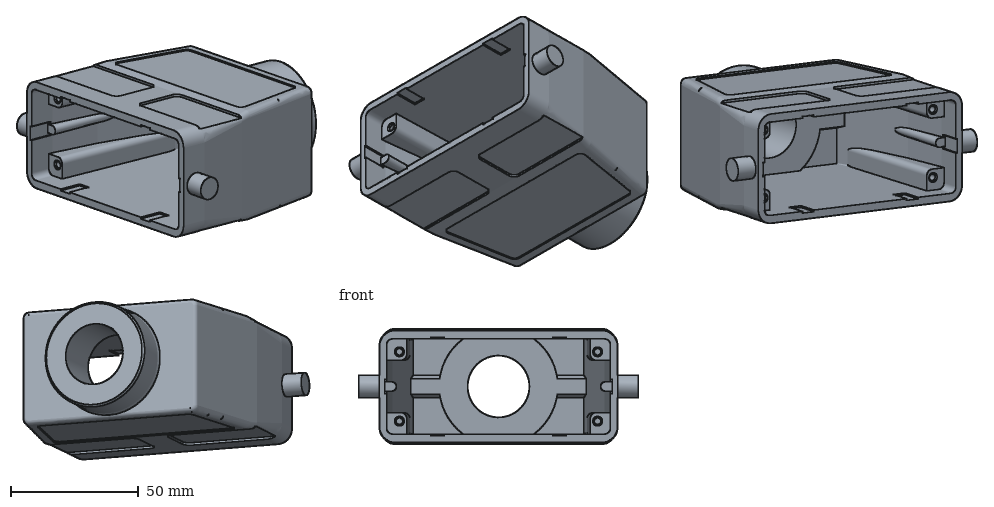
import cadquery as cq

SIDES = (-1, 1)

rim_band_end = 11.0
shoulder_start = 32.2
shoulder_end = 37.1
body_length = 76.0
total_length = 92.0

rim_half_width = 46.6
shoulder_half_width = 44.7
back_half_width = 36.5
rim_height = 43.7
body_height = 45.0
rim_half_height = rim_height / 2
body_half_height = body_height / 2
rim_corner_radius = 5.9
body_corner_radius = 2.5
back_edge_radius = 1.5
side_slope = (shoulder_half_width - back_half_width) / (body_length - shoulder_start)
shoulder_end_half_width = shoulder_half_width - side_slope * (shoulder_end - shoulder_start)

cavity_depth = 72.7
cavity_half_height = 18.6
cavity_rim_half_width = 43.8
cavity_shoulder_half_width = 41.5
cavity_floor_half_width = 33.4
cavity_corner_radius = 2.4
cavity_floor_corner_radius = 0.2

collar_radius = 20.9
collar_chamfer = 0.8
collar_foot_radius = 21.4
collar_foot_height = 1.5
collar_foot_sink = 0.3
bore_radius = 12.0
inner_boss_radius = 23.2
inner_boss_height = 4.6
rib_half_length = 34.3
rib_base_half_height = 4.4
rib_top_half_height = 3.0

post_start = 9.0
post_inner_x = 35.9
post_base_inner_x = 34.5
post_inner_z = 10.2
post_edge_radius = 2.4
screw_x = 38.8
screw_z = 13.6
screw_hole_radius = 1.3
screw_hole_depth = 13.1
screw_countersink = 0.5

key_start = post_start
key_inner_x = 40.0
key_width = 3.6
key_radius = key_width / 2

notch_depth = 0.7
notch_length = 9.9
notch_width = 5.3
notch_spacing = 47.6
end_notch_width = 5.6

peg_radius = 4.5
peg_y = 6.4
peg_end_x = 54.8

window_depth = 1.0
window_inner_x = 6.1
window_corner_radius = 2.8
panel_depth = 0.5
panel_start = shoulder_end
panel_end = 71.3
panel_start_half_width = 38.3
panel_end_half_width = 32.4
panel_corner_radius = 2.4


def section_sketch(section):
    """Rounded rectangle of one loft section."""
    _, half_width, half_height, radius = section
    return cq.Sketch().rect(2 * half_width, 2 * half_height).vertices().fillet(radius)


def lofted(sections):
    """Solid with straight sides through sections of (y, half width, half height, corner radius)."""
    solid = None
    for near, far in zip(sections, sections[1:]):
        near_sketch = section_sketch(near)
        far_sketch = section_sketch(far).moved(cq.Location(cq.Vector(0, 0, near[0] - far[0])))
        near_plane = cq.Workplane("XZ", origin=(0, near[0], 0))
        segment = near_plane.placeSketch(near_sketch, far_sketch).loft(ruled=True)
        solid = segment if solid is None else solid.union(segment)
    return solid


def block(x_range, y_range, z_range):
    """Box between the given limits."""
    size = [high - low for low, high in (x_range, y_range, z_range)]
    corner = (x_range[0], y_range[0], z_range[0])
    return cq.Workplane().box(*size, centered=False).translate(corner)


def both_sides(solid, plane):
    """The solid joined with its mirror image."""
    return solid.union(solid.mirror(plane))


def y_cylinder(radius, start, end, x=0, z=0):
    """Cylinder along Y."""
    return cq.Workplane("XZ", origin=(x, start, z)).circle(radius).extrude(start - end)


def outer_shell():
    """Solid outside form with a rounded back edge."""
    shell = lofted([
        (0, rim_half_width, rim_half_height, rim_corner_radius),
        (rim_band_end, rim_half_width, rim_half_height, rim_corner_radius),
        (shoulder_start, shoulder_half_width, rim_half_height, body_corner_radius),
        (shoulder_end, shoulder_end_half_width, body_half_height, body_corner_radius),
        (body_length, back_half_width, body_half_height, body_corner_radius),
    ])
    return shell.faces(">Y").edges().fillet(back_edge_radius)


def collar():
    """Round cable entry with a chamfered end and a slightly flared foot."""
    foot_start = body_length - collar_foot_sink
    foot_end = body_length + collar_foot_height
    profile = [
        (0, foot_start),
        (collar_foot_radius, foot_start),
        (collar_foot_radius, body_length),
        (collar_radius, foot_end),
        (collar_radius, total_length - collar_chamfer),
        (collar_radius - collar_chamfer, total_length),
        (0, total_length),
    ]
    return cq.Workplane().polyline(profile).close().revolve(360, (0, 0, 0), (0, 1, 0))


def inner_boss():
    """Raised disc on the cavity floor with a tapered rib across it."""
    boss_start = cavity_depth - inner_boss_height
    disc = y_cylinder(inner_boss_radius, boss_start, cavity_depth)
    rib_profile = [
        (boss_start, -rib_top_half_height),
        (boss_start, rib_top_half_height),
        (cavity_depth, rib_base_half_height),
        (cavity_depth, -rib_base_half_height),
    ]
    rib = cq.Workplane("YZ").polyline(rib_profile).close().extrude(rib_half_length, both=True)
    return disc.union(rib)


def screw_posts():
    """Four corner posts, thicker toward the cavity floor."""
    outline = [
        (post_inner_x, post_start),
        (rim_half_width, post_start),
        (rim_half_width, cavity_depth),
        (post_base_inner_x, cavity_depth),
    ]
    post = cq.Workplane(origin=(0, 0, post_inner_z)).polyline(outline).close()
    post = post.extrude(body_half_height - post_inner_z)
    post = post.faces("<Z").edges("<X").fillet(post_edge_radius)
    return both_sides(both_sides(post, "YZ"), "XY")


def guide_keys():
    """Round-nosed key along the middle of each end wall."""
    nose_x = key_inner_x + key_radius
    web = block((nose_x, rim_half_width), (key_start, cavity_depth), (-key_radius, key_radius))
    key = web.union(y_cylinder(key_radius, key_start, cavity_depth, nose_x))
    return both_sides(key, "YZ")


def rim_notches():
    """Shallow notches in the long and the end walls of the cavity, open at the rim."""
    end_x = cavity_rim_half_width + notch_depth
    long_z = cavity_half_height + notch_depth
    notches = block((-end_x, end_x), (0, notch_length), (-end_notch_width / 2, end_notch_width / 2))
    for side in SIDES:
        start_x = (side * notch_spacing - notch_width) / 2
        x_range = (start_x, start_x + notch_width)
        notches = notches.union(block(x_range, (0, notch_length), (-long_z, long_z)))
    return notches


def cavity():
    """Empty space inside the hood, with the rim notches, shaped around the boss, posts and keys."""
    space = lofted([
        (0, cavity_rim_half_width, cavity_half_height, cavity_corner_radius),
        (rim_band_end, cavity_rim_half_width, cavity_half_height, cavity_corner_radius),
        (shoulder_start, cavity_shoulder_half_width, cavity_half_height, cavity_corner_radius),
        (cavity_depth, cavity_floor_half_width, cavity_half_height, cavity_floor_corner_radius),
    ])
    space = space.union(rim_notches())
    return space.cut(inner_boss()).cut(screw_posts()).cut(guide_keys())


def screw_holes():
    """Countersunk blind hole in the end of each post."""
    mouth = screw_hole_radius + screw_countersink
    profile = [
        (0, post_start),
        (mouth, post_start),
        (screw_hole_radius, post_start + screw_countersink),
        (screw_hole_radius, post_start + screw_hole_depth),
        (0, post_start + screw_hole_depth),
    ]
    hole = cq.Workplane().polyline(profile).close().revolve(360, (0, 0, 0), (0, 1, 0))
    hole = hole.translate((screw_x, 0, screw_z))
    return both_sides(both_sides(hole, "YZ"), "XY")


def pegs():
    """Locking peg on each end wall."""
    peg_start_x = (cavity_rim_half_width + rim_half_width) / 2
    peg = cq.Workplane("YZ", origin=(peg_start_x, peg_y, 0)).circle(peg_radius)
    return both_sides(peg.extrude(peg_end_x - peg_start_x), "YZ")


def window_recesses():
    """Four recesses between the rim band and the shoulder, open toward the end walls."""
    window = block(
        (window_inner_x, rim_half_width),
        (rim_band_end, shoulder_start),
        (rim_half_height - window_depth, body_half_height),
    )
    window = window.edges("<X and |Z").fillet(window_corner_radius)
    return both_sides(both_sides(window, "YZ"), "XY")


def panel_recesses():
    """Trapezoidal panel sunk into each broad face."""
    outline = [
        (-panel_start_half_width, panel_start),
        (panel_start_half_width, panel_start),
        (panel_end_half_width, panel_end),
        (-panel_end_half_width, panel_end),
    ]
    panel = cq.Workplane(origin=(0, 0, body_half_height - panel_depth)).polyline(outline).close()
    panel = panel.extrude(panel_depth).edges("|Z").fillet(panel_corner_radius)
    return both_sides(panel, "XY")


hood = outer_shell().union(collar())
hood = hood.cut(window_recesses()).cut(panel_recesses())
hood = hood.cut(cavity()).cut(screw_holes())
hood = hood.cut(y_cylinder(bore_radius, 0, total_length))
result = hood.union(pegs())